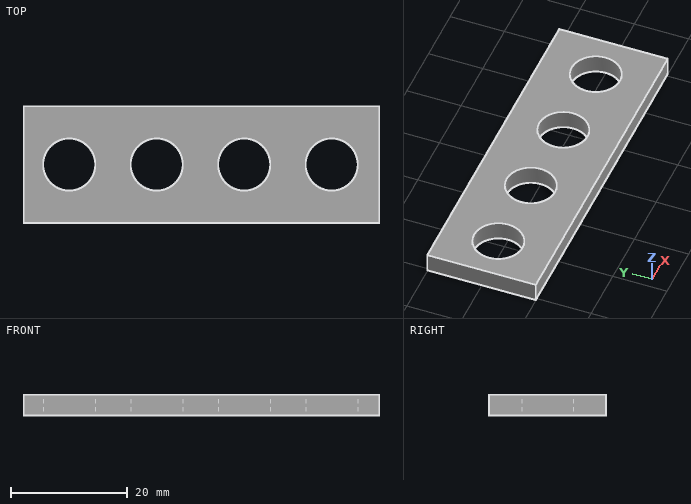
import cadquery as cq

length = 60.95
width = 20.05
thickness = 3.6

hole_count = 4
hole_diameter = 8.9
hole_pitch = 15.0
first_hole_from_left = 7.8

hole_centres = [
    (first_hole_from_left + index * hole_pitch, width / 2)
    for index in range(hole_count)
]

plate = cq.Workplane("XY").box(length, width, thickness, centered=False)

holes = (
    cq.Workplane("XY")
    .pushPoints(hole_centres)
    .circle(hole_diameter / 2)
    .extrude(thickness)
)

result = plate.cut(holes)